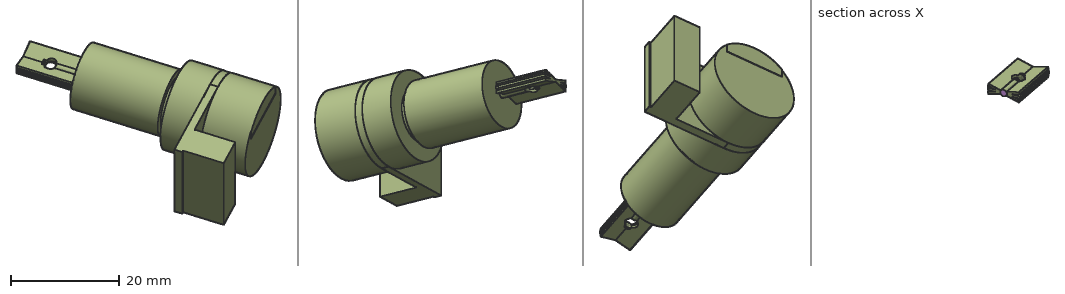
import cadquery as cq

total_length = 47.95

blade_length = 11.05
blade_width = 6.8
blade_thickness = 0.5
blade_tilts = (-15.0, 0.0, 15.0)
shaft_diameter = 1.5
shaft_start = 4.0
mirror_hole_diameter = 2.2
mirror_hole_x = 5.45

barrel_start = 12.05
barrel_end = 29.5
case_start = 30.95
plate_start = 37.3
plate_end = 38.9
barrel_diameter = 12.95
neck_diameter = 10.1
case_diameter = 17.35

pad_height = 0.1
pad_width = 12.0
pad_bottom_z = 4.4
case_end = total_length - pad_height

plate_diameter = 17.25
arm_height = 17.35
plate_reach = 17.3
block_inner_reach = 11.35
block_outer_reach = 16.95
block_end = 47.0


def cylinder_x(start, end, diameter):
    """Cylinder on the X axis between two stations."""
    return cq.Workplane("YZ").workplane(offset=start).circle(diameter / 2).extrude(end - start)


def box_between(low, high):
    """Axis-aligned box between two opposite corners."""
    size = [b - a for a, b in zip(low, high)]
    return cq.Workplane("XY").box(*size, centered=False).translate(low)


def tilt_about_shaft(shape, tilt):
    """Turn a shape about the X axis."""
    return shape.rotate((0, 0, 0), (1, 0, 0), tilt)


def make_mirror():
    """Crossed blades and shaft, pierced by one hole square to each blade."""
    blade = (
        cq.Workplane("XY")
        .box(blade_length, blade_width, blade_thickness)
        .translate((blade_length / 2, 0, 0))
    )
    hole = (
        cq.Workplane("XY")
        .center(mirror_hole_x, 0)
        .circle(mirror_hole_diameter / 2)
        .extrude(shaft_diameter, both=True)
    )
    mirror = cylinder_x(shaft_start, barrel_start, shaft_diameter)
    for tilt in blade_tilts:
        mirror = mirror.union(tilt_about_shaft(blade, tilt))
    for tilt in blade_tilts:
        mirror = mirror.cut(tilt_about_shaft(hole, tilt))
    return mirror


def make_side_plate():
    """Plate with a round end about the motor axis and a straight arm toward -Y."""
    half_height = arm_height / 2
    arm = box_between((plate_start, -plate_reach, -half_height), (plate_end, 0, half_height))
    return cylinder_x(plate_start, plate_end, plate_diameter).union(arm)


def make_connector_block():
    """Block standing on the rear face of the side plate."""
    half_height = arm_height / 2
    return box_between(
        (plate_end, -block_outer_reach, -half_height),
        (block_end, -block_inner_reach, half_height),
    )


def make_pad():
    """Thin raised pad, trimmed at the top by the round rim of the case."""
    blank = box_between(
        (case_end, -pad_width / 2, pad_bottom_z),
        (total_length, pad_width / 2, case_diameter / 2),
    )
    return blank.intersect(cylinder_x(case_end, total_length, case_diameter))


def make_motor():
    """Stepped housing with its side plate, connector block and rear pad."""
    return (
        cylinder_x(barrel_start, barrel_end, barrel_diameter)
        .union(cylinder_x(barrel_end, case_start, neck_diameter))
        .union(cylinder_x(case_start, plate_start, case_diameter))
        .union(make_side_plate())
        .union(cylinder_x(plate_end, case_end, case_diameter))
        .union(make_connector_block())
        .union(make_pad())
    )


mirror = make_mirror()
motor = make_motor()
result = cq.Compound.makeCompound([mirror.val(), motor.val()])